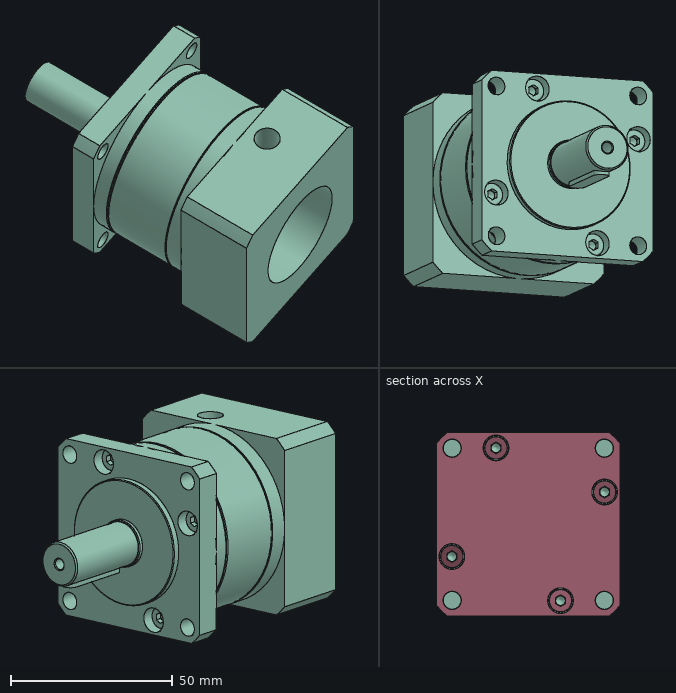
import cadquery as cq
import math


LENGTH = 100.3
COLLAR_X = 30.0
PILOT_X = 31.5
FLANGE_X = 33.9
FLANGE_BACK_X = 42.0
MOTOR_BLOCK_X = 75.3

BODY_RADIUS = 28.5
TOP_STRIP_HALF_WIDTH = 1.0
FLANGE_SIDE_STRIP_HALF_WIDTH = 0.4
MOTOR_BLOCK_SIDE_STRIP_HALF_WIDTH = 0.0
CORNER_RADIUS = 38.0
JOINT_DEPTH = 0.3
FRONT_JOINT_X = 46.8
FRONT_JOINT_WIDTH = 0.9
FRONT_JOINT_FLOOR = 0.4
REAR_JOINT_X = 69.2
REAR_JOINT_WIDTH = 0.3

PILOT_RADIUS = 20.1
PILOT_CHAMFER = 0.3
COLLAR_RADIUS = 7.5
COLLAR_CHAMFER = 0.3
SHAFT_RADIUS = 7.0
SHAFT_CHAMFER = 0.5
CENTER_HOLE_RADIUS = 1.7
CENTER_HOLE_MOUTH_RADIUS = 2.0
CENTER_HOLE_DEPTH = 10.0
DRILL_POINT_ANGLE = 118.0

KEY_X = 3.0
KEY_LENGTH = 25.1
KEY_WIDTH = 5.0
KEY_TOP = 8.0

MOUNT_HOLE_OFFSET = 23.6
MOUNT_HOLE_RADIUS = 2.76

SCREW_COUNT = 4
SCREW_CIRCLE_RADIUS = 25.7
SCREW_START_ANGLE = 22.9
COUNTERBORE_RADIUS = 3.9
HEAD_RECESS = 3.2
HEAD_X = FLANGE_X + HEAD_RECESS
HEAD_RADIUS = 3.5
HEAD_LENGTH = 4.0
HEAD_ROUND = 0.5
SHANK_RADIUS = 2.0
SHANK_LENGTH = 10.0
SOCKET_ACROSS_FLATS = 3.0
SOCKET_ACROSS_CORNERS = SOCKET_ACROSS_FLATS / math.cos(math.pi / 6)
SOCKET_DEPTH = 2.0
SHANK_X = HEAD_X + HEAD_LENGTH

CAVITY_X = 78.7
CAVITY_RADIUS = 17.1
SLEEVE_RADIUS = 6.5
CLAMP_X = 79.9
CLAMP_LENGTH = 7.4
CLAMP_RADIUS = 12.5
CLAMP_HOLE_X = CLAMP_X + CLAMP_LENGTH / 2
CLAMP_HOLE_RADIUS = 2.0
CLAMP_SCREW_Y = 7.2
ACCESS_HOLE_X = 82.5
ACCESS_HOLE_RADIUS = 4.0


def axial_plane(x, y=0, z=0):
    """Plane facing +X, with its own first direction along +Z."""
    return cq.Plane(origin=(x, y, z), xDir=(0, 0, 1), normal=(1, 0, 0))


def rod(x, length, radius, y=0, z=0):
    """Cylinder along X, starting at x."""
    return cq.Workplane(axial_plane(x, y, z)).circle(radius).extrude(length)


def drill_point(x, radius, y=0, z=0):
    """Cone along +X whose base of the given radius lies at x."""
    height = radius / math.tan(math.radians(DRILL_POINT_ANGLE / 2))
    cone = cq.Solid.makeCone(radius, 0, height, cq.Vector(x, y, z), cq.Vector(1, 0, 0))
    return cq.Workplane(obj=cone)


def flat_distance(strip_half_width):
    """Distance from the axis of a flat that leaves a strip of the round body standing."""
    return math.sqrt(BODY_RADIUS**2 - strip_half_width**2)


def square_block(x, length, side_strip_half_width):
    """Square block around the axis with its four corners turned round."""
    height = 2 * flat_distance(TOP_STRIP_HALF_WIDTH)
    width = 2 * flat_distance(side_strip_half_width)
    block = cq.Workplane(axial_plane(x)).rect(height, width).extrude(length)
    return block.intersect(rod(x, length, CORNER_RADIUS))


def joint_groove(x, width, floor_width):
    """Ring to cut around the round body, narrowing toward its floor."""
    slope = (width - floor_width) / 2
    floor_radius = BODY_RADIUS - JOINT_DEPTH
    outer_radius = BODY_RADIUS + JOINT_DEPTH
    outline = [
        (x, outer_radius),
        (x, BODY_RADIUS),
        (x + slope, floor_radius),
        (x + width - slope, floor_radius),
        (x + width, BODY_RADIUS),
        (x + width, outer_radius),
    ]
    return cq.Workplane("XY").polyline(outline).close().revolve(360, (0, 0, 0), (1, 0, 0))


def screw_places():
    """Y, Z centres of the screws."""
    places = []
    for index in range(SCREW_COUNT):
        angle = math.radians(SCREW_START_ANGLE + index * 360 / SCREW_COUNT)
        places.append((SCREW_CIRCLE_RADIUS * math.sin(angle), SCREW_CIRCLE_RADIUS * math.cos(angle)))
    return places


def make_shaft():
    shaft = rod(0, PILOT_X, SHAFT_RADIUS).faces("<X").chamfer(SHAFT_CHAMFER)
    collar = rod(COLLAR_X, PILOT_X - COLLAR_X, COLLAR_RADIUS).faces("<X").chamfer(COLLAR_CHAMFER)
    key = (
        cq.Workplane("XY", origin=(KEY_X + KEY_LENGTH / 2, 0, -KEY_TOP))
        .slot2D(KEY_LENGTH, KEY_WIDTH)
        .extrude(KEY_TOP / 2)
    )
    shaft = shaft.union(collar).union(key)

    mouth_depth = CENTER_HOLE_MOUTH_RADIUS - CENTER_HOLE_RADIUS
    mouth = cq.Workplane(
        obj=cq.Solid.makeCone(
            CENTER_HOLE_MOUTH_RADIUS, CENTER_HOLE_RADIUS, mouth_depth, cq.Vector(), cq.Vector(1, 0, 0)
        )
    )
    hole = rod(0, CENTER_HOLE_DEPTH, CENTER_HOLE_RADIUS)
    return shaft.cut(mouth).cut(hole).cut(drill_point(CENTER_HOLE_DEPTH, CENTER_HOLE_RADIUS))


def make_housing():
    housing = rod(FLANGE_X, LENGTH - FLANGE_X, BODY_RADIUS)
    flange = square_block(FLANGE_X, FLANGE_BACK_X - FLANGE_X, FLANGE_SIDE_STRIP_HALF_WIDTH)
    motor_block = square_block(MOTOR_BLOCK_X, LENGTH - MOTOR_BLOCK_X, MOTOR_BLOCK_SIDE_STRIP_HALF_WIDTH)
    housing = housing.union(flange).union(motor_block)

    pilot = rod(PILOT_X, FLANGE_X - PILOT_X, PILOT_RADIUS).faces("<X").chamfer(PILOT_CHAMFER)
    housing = housing.union(pilot)

    housing = housing.cut(joint_groove(FRONT_JOINT_X, FRONT_JOINT_WIDTH, FRONT_JOINT_FLOOR))
    housing = housing.cut(joint_groove(REAR_JOINT_X, REAR_JOINT_WIDTH, REAR_JOINT_WIDTH))

    for y in (-MOUNT_HOLE_OFFSET, MOUNT_HOLE_OFFSET):
        for z in (-MOUNT_HOLE_OFFSET, MOUNT_HOLE_OFFSET):
            housing = housing.cut(rod(FLANGE_X, FLANGE_BACK_X - FLANGE_X, MOUNT_HOLE_RADIUS, y, z))

    for y, z in screw_places():
        housing = housing.cut(rod(FLANGE_X, SHANK_X - FLANGE_X, COUNTERBORE_RADIUS, y, z))
        housing = housing.cut(rod(SHANK_X, SHANK_LENGTH, SHANK_RADIUS, y, z))

    housing = housing.cut(rod(CAVITY_X, LENGTH - CAVITY_X, CAVITY_RADIUS))
    access_hole = (
        cq.Workplane("XY", origin=(ACCESS_HOLE_X, CLAMP_SCREW_Y, 0))
        .circle(ACCESS_HOLE_RADIUS)
        .extrude(BODY_RADIUS)
    )
    return housing.cut(access_hole)


def make_input():
    """Input sleeve with its clamping ring, which has a screw hole right through beside the axis."""
    sleeve = rod(CAVITY_X, CLAMP_X + CLAMP_LENGTH - CAVITY_X, SLEEVE_RADIUS)
    clamp = rod(CLAMP_X, CLAMP_LENGTH, CLAMP_RADIUS)
    screw_hole = (
        cq.Workplane("XY", origin=(CLAMP_HOLE_X, CLAMP_SCREW_Y, 0))
        .circle(CLAMP_HOLE_RADIUS)
        .extrude(CLAMP_RADIUS, both=True)
    )
    return sleeve.union(clamp).cut(screw_hole)


def make_gearbox():
    return make_housing().union(make_shaft()).union(make_input())


def make_screw(y, z):
    head = rod(HEAD_X, HEAD_LENGTH, HEAD_RADIUS, y, z).faces("<X").edges().fillet(HEAD_ROUND)
    shank = rod(SHANK_X, SHANK_LENGTH, SHANK_RADIUS, y, z)
    socket = cq.Workplane(axial_plane(HEAD_X, y, z)).polygon(6, SOCKET_ACROSS_CORNERS).extrude(SOCKET_DEPTH)
    point = drill_point(HEAD_X + SOCKET_DEPTH, SOCKET_ACROSS_FLATS / 2, y, z)
    return head.union(shank).cut(socket).cut(point)


gearbox = make_gearbox()
screws = [make_screw(y, z) for y, z in screw_places()]

result = cq.Compound.makeCompound([gearbox.val(), *[screw.val() for screw in screws]])